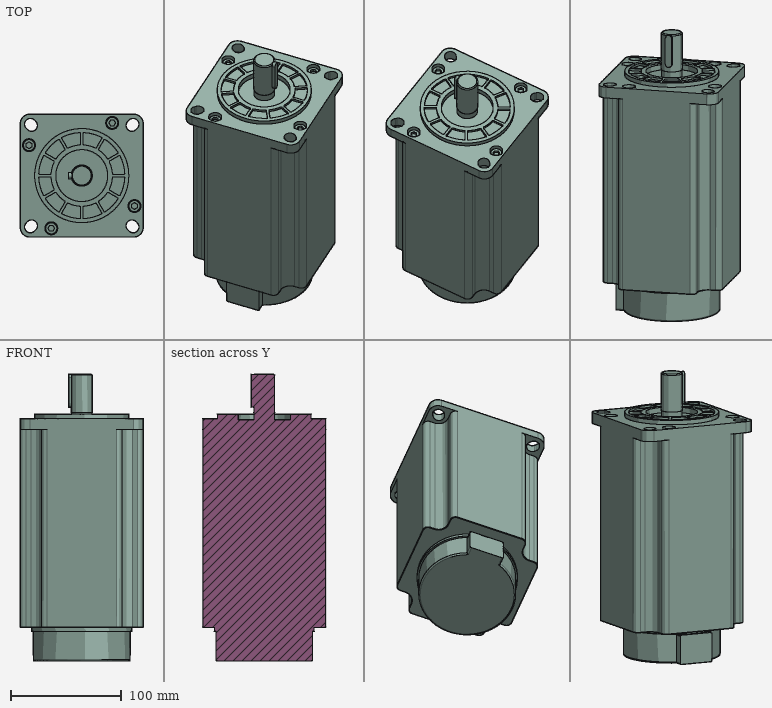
import cadquery as cq
import math

TOTAL_HEIGHT = 259.0
SHAFT_REACH = 36.3
PILOT_HEIGHT = 4.0
FLANGE_THICKNESS = 10.0
CAP_HEIGHT = 27.0
LIP_HEIGHT = 3.4

PILOT_TOP = TOTAL_HEIGHT - SHAFT_REACH
FLANGE_TOP = PILOT_TOP - PILOT_HEIGHT
FLANGE_BOTTOM = FLANGE_TOP - FLANGE_THICKNESS
HOUSING_BOTTOM = CAP_HEIGHT + LIP_HEIGHT

BODY_WIDTH = 111.0
HALF_WIDTH = BODY_WIDTH / 2
FLANGE_CORNER_RADIUS = 8.8
MOUNT_CIRCLE_RADIUS = 64.8
MOUNT_OFFSET = MOUNT_CIRCLE_RADIUS * math.cos(math.radians(45))
MOUNT_SLOT_WIDTH = 10.4
MOUNT_SLOT_LENGTH = 12.0

SCOOP_RADIUS = 9.3
SHOULDER_RADIUS = 5.2
HOUSING_BOTTOM_CHAMFER = 0.5

SCREW_CIRCLE_RADIUS = 55.0
SCREW_FIRST_ANGLE = 60
COUNTERBORE_DIAMETER = 11.7
COUNTERBORE_DEPTH = 6.2
SCREW_HEAD_DIAMETER = 10.0
SCREW_HEAD_DROP = 3.0
SOCKET_ACROSS_FLATS = 5.2
SOCKET_DEPTH = 2.3

PILOT_DIAMETER = 85.0
RECESS_DIAMETER = 47.0
RECESS_DEPTH = 5.0
POCKET_COUNT = 12
POCKET_OUTER_RADIUS = 38.8
POCKET_INNER_RADIUS = 27.7
POCKET_RIB_WIDTH = 2.3
POCKET_DEPTH = 2.0
POCKET_CORNER_RADIUS = 0.8

SHAFT_DIAMETER = 19.2
SHAFT_SEAT_DIAMETER = 19.0
SHAFT_SEAT_TOP = PILOT_TOP + 1.5
SHAFT_CHAMFER = 1.0
KEY_WIDTH = 6.0
KEY_LENGTH = 30.0
KEY_REACH = 12.0

LIP_DIAMETER = 90.6
CAP_DIAMETER = 87.5
CAP_EDGE_RADIUS = 1.3
CONNECTOR_WIDTH = 32.0
CONNECTOR_REACH = 48.0
CONNECTOR_TOP_CHAMFER = 0.8


def cylinder(diameter, bottom, top):
    return cq.Workplane("XY").workplane(offset=bottom).circle(diameter / 2).extrude(top - bottom)


def make_flange():
    flange = (
        cq.Workplane("XY")
        .workplane(offset=FLANGE_BOTTOM)
        .rect(BODY_WIDTH, BODY_WIDTH)
        .extrude(FLANGE_THICKNESS)
        .edges("|Z")
        .fillet(FLANGE_CORNER_RADIUS)
    )
    for quarter in range(4):
        slot = (
            cq.Workplane("XY")
            .workplane(offset=FLANGE_BOTTOM)
            .center(MOUNT_CIRCLE_RADIUS, 0)
            .slot2D(MOUNT_SLOT_LENGTH, MOUNT_SLOT_WIDTH)
            .extrude(FLANGE_THICKNESS)
            .rotate((0, 0, 0), (0, 0, 1), 45 + 90 * quarter)
        )
        flange = flange.cut(slot)
    return flange


def make_corner_relief(height):
    """Material missing at the +X +Y corner of the housing: a scoop between two rounded shoulders."""
    diagonal = math.cos(math.radians(45))
    step = MOUNT_OFFSET - SCOOP_RADIUS
    flat_end = step - SHOULDER_RADIUS
    shoulder_centre = HALF_WIDTH - SHOULDER_RADIUS
    shoulder_bulge = SHOULDER_RADIUS * diagonal
    shoulder_mid = (shoulder_centre + shoulder_bulge, flat_end + shoulder_bulge)
    scoop_mid = MOUNT_OFFSET - SCOOP_RADIUS * diagonal
    return (
        cq.Workplane("XY")
        .workplane(offset=HOUSING_BOTTOM)
        .moveTo(HALF_WIDTH, flat_end)
        .threePointArc(shoulder_mid, (shoulder_centre, step))
        .lineTo(MOUNT_OFFSET, step)
        .threePointArc((scoop_mid, scoop_mid), (step, MOUNT_OFFSET))
        .lineTo(step, shoulder_centre)
        .threePointArc(shoulder_mid[::-1], (flat_end, HALF_WIDTH))
        .lineTo(HALF_WIDTH, HALF_WIDTH)
        .close()
        .extrude(height)
    )


def make_housing():
    height = FLANGE_BOTTOM - HOUSING_BOTTOM
    housing = cq.Workplane("XY").workplane(offset=HOUSING_BOTTOM).rect(BODY_WIDTH, BODY_WIDTH).extrude(height)
    relief = make_corner_relief(height)
    for quarter in range(4):
        housing = housing.cut(relief.rotate((0, 0, 0), (0, 0, 1), 90 * quarter))
    return housing.faces("<Z").edges().chamfer(HOUSING_BOTTOM_CHAMFER)


def add_screws(body):
    """Sink four counterbores and leave a socket head screw standing in each."""
    counterbore_floor = FLANGE_TOP - COUNTERBORE_DEPTH
    head_top = FLANGE_TOP - SCREW_HEAD_DROP
    socket_across_corners = SOCKET_ACROSS_FLATS / math.cos(math.radians(30))
    socket = (
        cq.Workplane("XY")
        .workplane(offset=head_top - SOCKET_DEPTH)
        .polygon(6, socket_across_corners)
        .extrude(SOCKET_DEPTH)
        .rotate((0, 0, 0), (0, 0, 1), SCREW_FIRST_ANGLE)
    )
    head = cylinder(SCREW_HEAD_DIAMETER, counterbore_floor, head_top).cut(socket)
    clearance = cylinder(COUNTERBORE_DIAMETER, counterbore_floor, FLANGE_TOP).cut(head)
    angle = math.radians(SCREW_FIRST_ANGLE)
    place = (SCREW_CIRCLE_RADIUS * math.cos(angle), SCREW_CIRCLE_RADIUS * math.sin(angle), 0)
    clearance = clearance.translate(place)
    for quarter in range(4):
        body = body.cut(clearance.rotate((0, 0, 0), (0, 0, 1), 90 * quarter))
    return body


def make_pocket():
    """One pocket of the pilot ring, between ribs of constant width."""
    half_pitch = math.radians(180 / POCKET_COUNT)
    apex = POCKET_RIB_WIDTH / 2 / math.sin(half_pitch)
    far = POCKET_OUTER_RADIUS * 2
    wedge = (
        cq.Workplane("XY")
        .workplane(offset=PILOT_TOP - POCKET_DEPTH)
        .moveTo(apex, 0)
        .lineTo(far, (far - apex) * math.tan(half_pitch))
        .lineTo(far, -(far - apex) * math.tan(half_pitch))
        .close()
        .extrude(POCKET_DEPTH)
    )
    ring = (
        cq.Workplane("XY")
        .workplane(offset=PILOT_TOP - POCKET_DEPTH)
        .circle(POCKET_OUTER_RADIUS)
        .circle(POCKET_INNER_RADIUS)
        .extrude(POCKET_DEPTH)
    )
    pocket = wedge.intersect(ring).edges("|Z").fillet(POCKET_CORNER_RADIUS)
    return pocket.rotate((0, 0, 0), (0, 0, 1), 180 / POCKET_COUNT)


def add_pilot(body):
    body = body.union(cylinder(PILOT_DIAMETER, FLANGE_TOP, PILOT_TOP))
    body = body.cut(cylinder(RECESS_DIAMETER, PILOT_TOP - RECESS_DEPTH, PILOT_TOP))
    pocket = make_pocket()
    for index in range(POCKET_COUNT):
        body = body.cut(pocket.rotate((0, 0, 0), (0, 0, 1), index * 360 / POCKET_COUNT))
    return body


def make_shaft():
    seat = cylinder(SHAFT_SEAT_DIAMETER, PILOT_TOP - RECESS_DEPTH, SHAFT_SEAT_TOP)
    shaft = cylinder(SHAFT_DIAMETER, SHAFT_SEAT_TOP, TOTAL_HEIGHT).faces(">Z").edges().chamfer(SHAFT_CHAMFER)
    key = (
        cq.Workplane("YZ")
        .center(0, TOTAL_HEIGHT - KEY_LENGTH / 2)
        .slot2D(KEY_LENGTH, KEY_WIDTH, 90)
        .extrude(-KEY_REACH)
    )
    return seat.union(shaft).union(key)


def make_rear_cap():
    lip = cylinder(LIP_DIAMETER, CAP_HEIGHT, HOUSING_BOTTOM)
    cap = cylinder(CAP_DIAMETER, 0, CAP_HEIGHT).faces("<Z").edges().fillet(CAP_EDGE_RADIUS)
    connector = (
        cq.Workplane("XY")
        .center(0, CONNECTOR_REACH / 2)
        .rect(CONNECTOR_WIDTH, CONNECTOR_REACH)
        .extrude(CAP_HEIGHT)
    )
    connector = connector.edges("|Y and >Z").chamfer(CONNECTOR_TOP_CHAMFER)
    connector = connector.faces("<Z").edges("|Y").fillet(CAP_EDGE_RADIUS)
    return lip.union(cap).union(connector)


body = make_housing().union(make_flange())
body = add_screws(body)
body = add_pilot(body)
result = body.union(make_shaft()).union(make_rear_cap())